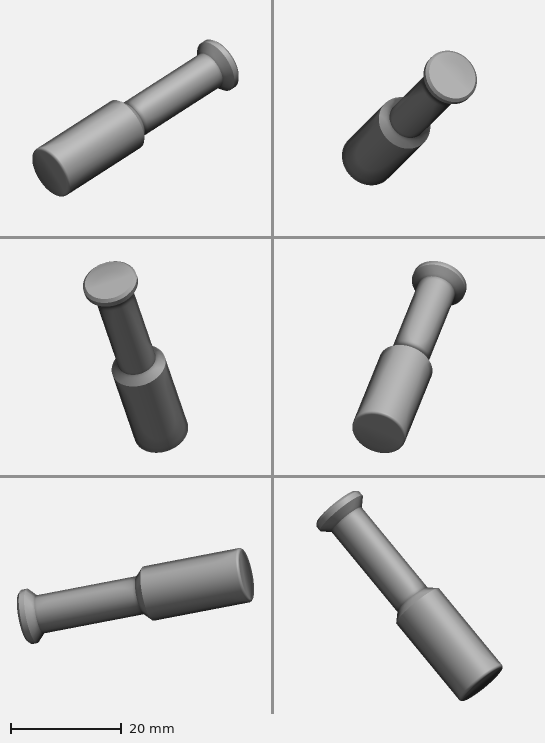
import cadquery as cq

length = 42.0
body_diameter = 10.0
neck_diameter = 7.0
body_length = 18.52
head_length = 1.5
edge_radius = 0.5
head_chamfer = 0.5

body_radius = body_diameter / 2
neck_radius = neck_diameter / 2
cone_length = body_radius - neck_radius
front = -length / 2
back = length / 2
body_end = front + body_length
head_start = back - head_length

profile = (
    cq.Workplane("XY")
    .moveTo(0, front)
    .lineTo(body_radius, front)
    .lineTo(body_radius, body_end)
    .lineTo(neck_radius, body_end + cone_length)
    .lineTo(neck_radius, head_start - cone_length)
    .lineTo(body_radius, head_start)
    .lineTo(body_radius, back)
    .lineTo(0, back)
    .close()
)
pin = profile.revolve(360, (0, 0, 0), (0, 1, 0))

pin = pin.faces("<Y").edges().fillet(edge_radius)
result = pin.faces(">Y").edges().chamfer(head_chamfer)